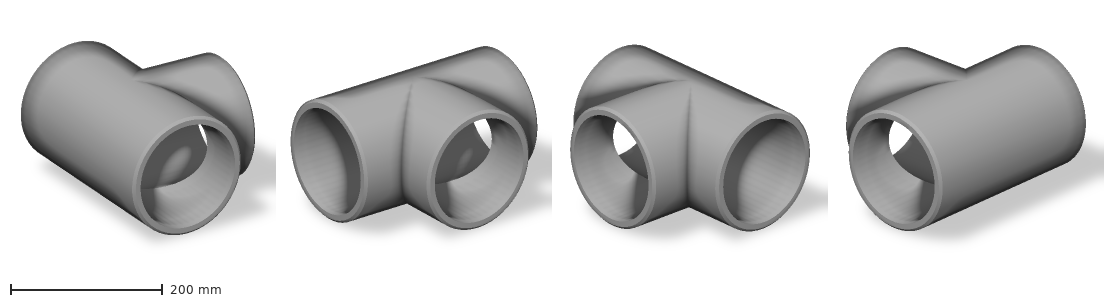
import cadquery as cq

outer_diameter = 168.28
wall_thickness = 10.97
run_length = 285.5
branch_length = run_length / 2
bevel_size = 3.6

outer_radius = outer_diameter / 2
inner_radius = outer_radius - wall_thickness


def arm_pair(radius):
    """Solid run and branch cylinders of one radius, meeting at the origin."""
    run = cq.Workplane("YZ").circle(radius).extrude(run_length / 2, both=True)
    branch = cq.Workplane("XZ").circle(radius).extrude(-branch_length)
    return run.union(branch)


def bevel_open_ends(body):
    """Bevel the outer rim of the two run ends and the branch end."""
    for end_face in ("<X", ">X", ">Y"):
        body = body.faces(end_face).edges().chamfer(bevel_size)
    return body


outer_body = bevel_open_ends(arm_pair(outer_radius))
result = outer_body.cut(arm_pair(inner_radius))